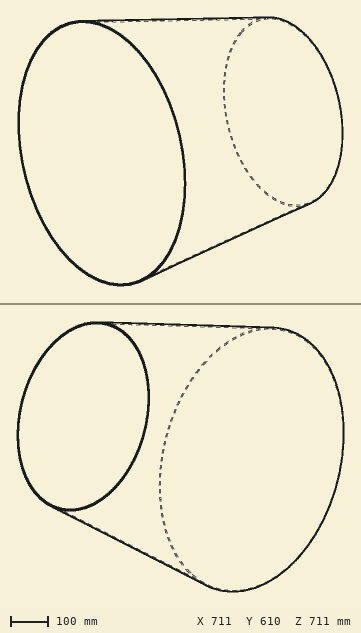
import cadquery as cq

wide_diameter = 711.0
narrow_diameter = 508.0
length = 610.0
wall = 4.0

wide_radius = wide_diameter / 2
narrow_radius = narrow_diameter / 2

wall_section = [
    (wide_radius - wall, 0),
    (wide_radius, 0),
    (narrow_radius, length),
    (narrow_radius - wall, length),
]

result = (
    cq.Workplane("XY")
    .polyline(wall_section)
    .close()
    .revolve(360, (0, 0, 0), (0, 1, 0))
)